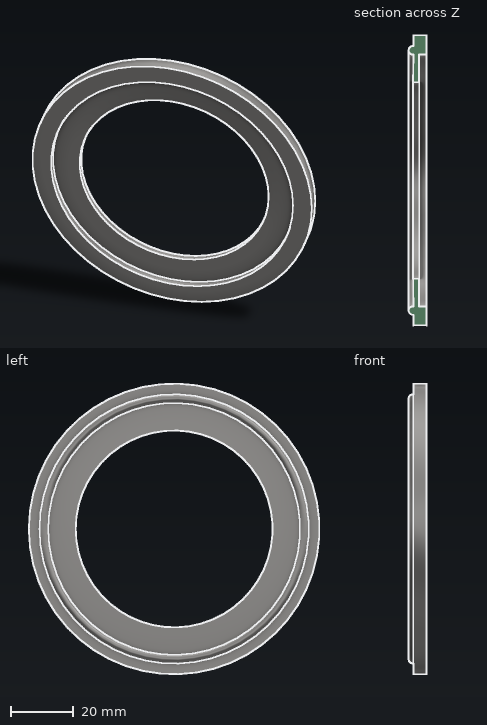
import cadquery as cq

outer_radius = 46.5
bore_radius = 31.4
plate_thickness = 4.2
total_thickness = 5.8

bead_outer_radius = 43.1
bead_width = 2.8
bead_inner_radius = bead_outer_radius - bead_width
bead_mid_radius = bead_outer_radius - bead_width / 2
crown_start = total_thickness - bead_width / 2

face_rise = 0.2
bore_face = plate_thickness + face_rise

bore_length = 2.0
recess_depth = bore_face - bore_length
recess_radius = bead_inner_radius

half_section = (
    cq.Workplane("XY")
    .moveTo(0, recess_radius)
    .lineTo(0, outer_radius)
    .lineTo(-plate_thickness, outer_radius)
    .lineTo(-plate_thickness, bead_outer_radius)
    .lineTo(-crown_start, bead_outer_radius)
    .threePointArc((-total_thickness, bead_mid_radius), (-crown_start, bead_inner_radius))
    .lineTo(-plate_thickness, bead_inner_radius)
    .lineTo(-bore_face, bore_radius)
    .lineTo(-recess_depth, bore_radius)
    .lineTo(-recess_depth, recess_radius)
    .close()
)

ring = half_section.revolve(360, (0, 0, 0), (1, 0, 0))

result = ring.translate((total_thickness / 2, 0, 0))